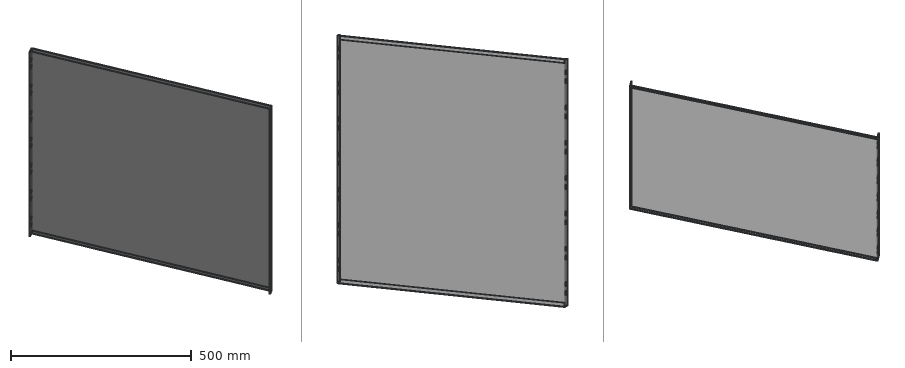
import cadquery as cq

SHEET = 1.5
BEND_INNER_RADIUS = 0.5
BEND_OUTER_RADIUS = BEND_INNER_RADIUS + SHEET

WIDTH = 706.0
DEPTH = 18.0
FLANGE_HEIGHT = 700.0
CORNER_RADIUS = 5.0

HEM_GAP = 0.1
HEM_THICKNESS = 2 * SHEET + HEM_GAP
HEM_FOLD_RADIUS = HEM_THICKNESS / 2
HEM_LEG = 10.5
HEM_END_CLEARANCE = 1.0
HEM_WIDTH = WIDTH - 2 * (SHEET + HEM_END_CLEARANCE)

SLOT_LENGTH = 12.0
SLOT_WIDTH = 10.0
PAIR_SPACING = 25.0
PAIR_PITCH = 100.0
PAIR_COUNT = 7

BACK_Y = DEPTH / 2


def flanged_panel():
    """Flat panel with a rounded bend into a flange along each side."""
    outer = (
        cq.Workplane("XY")
        .box(WIDTH, DEPTH, FLANGE_HEIGHT)
        .edges("|Z and >Y")
        .fillet(BEND_OUTER_RADIUS)
    )
    inner = (
        cq.Workplane("XY")
        .box(WIDTH - 2 * SHEET, DEPTH, FLANGE_HEIGHT)
        .edges("|Z and >Y")
        .fillet(BEND_INNER_RADIUS)
        .translate((0, -SHEET, 0))
    )
    return outer.cut(inner).edges("|X and <Y").fillet(CORNER_RADIUS)


def top_hem():
    """Half-round fold above the panel and its leg, lying just in front of the panel."""
    fold_z = FLANGE_HEIGHT / 2
    fold_y = BACK_Y - HEM_FOLD_RADIUS
    panel_front_y = BACK_Y - SHEET
    leg_back_y = panel_front_y - HEM_GAP
    leg_front_y = BACK_Y - HEM_THICKNESS
    leg_end_z = fold_z - HEM_LEG
    return (
        cq.Workplane("YZ")
        .moveTo(BACK_Y, fold_z)
        .threePointArc((fold_y, fold_z + HEM_FOLD_RADIUS), (leg_front_y, fold_z))
        .lineTo(leg_front_y, leg_end_z)
        .lineTo(leg_back_y, leg_end_z)
        .lineTo(leg_back_y, fold_z)
        .threePointArc((fold_y, fold_z + HEM_GAP / 2), (panel_front_y, fold_z))
        .close()
        .extrude(HEM_WIDTH / 2, both=True)
    )


def flange_slots():
    """Cutters for the slot pairs, passing through both flanges."""
    points = []
    for pair in range(PAIR_COUNT):
        pair_z = (pair - (PAIR_COUNT - 1) / 2) * PAIR_PITCH
        points.append((0, pair_z - PAIR_SPACING / 2))
        points.append((0, pair_z + PAIR_SPACING / 2))
    return (
        cq.Workplane("YZ")
        .pushPoints(points)
        .slot2D(SLOT_LENGTH, SLOT_WIDTH, 90)
        .extrude(WIDTH / 2, both=True)
    )


hem = top_hem()
result = flanged_panel().union(hem).union(hem.mirror("XY"))
result = result.cut(flange_slots())